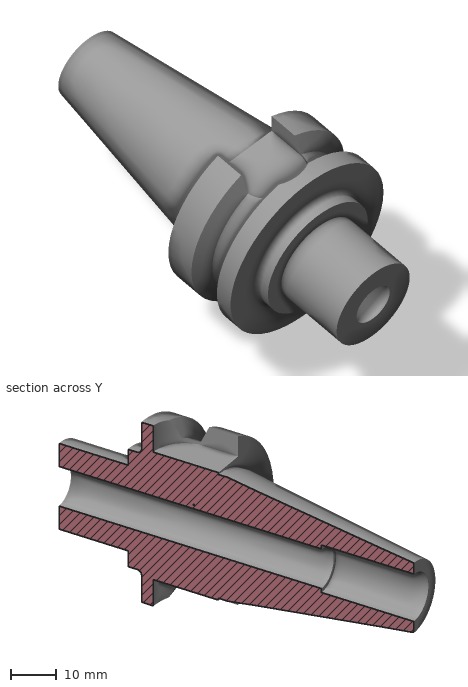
import cadquery as cq

total_length = 91.7
gauge_line = 48.4
neck_start = 49.2
flange_start = 50.4
groove_open_start = 57.9
groove_floor_start = 60.1
groove_floor_end = 63.9
groove_open_end = 66
flange_end = 70.4
collar_end = 73.9

taper_small_diameter = 17.9
taper_large_diameter = 31.8
neck_diameter = 31.7
flange_diameter = 46.0
groove_diameter = 37.6
collar_diameter = 30.1
spigot_diameter = 22
bore_diameter = 10.0
entry_bore_diameter = 12.0

entry_bore_depth = 23.8
collar_fillet = 1.0

slot_width = 16.1
slot_floor_height = 16.3
slot_end = 67.3


def make_body():
    """Taper, grooved flange, collar and spigot, revolved about X."""
    flange_radius = flange_diameter / 2
    groove_radius = groove_diameter / 2
    collar_radius = collar_diameter / 2
    return (
        cq.Workplane("XY")
        .moveTo(0, 0)
        .lineTo(0, taper_small_diameter / 2)
        .lineTo(gauge_line, taper_large_diameter / 2)
        .lineTo(neck_start, neck_diameter / 2)
        .lineTo(flange_start, neck_diameter / 2)
        .lineTo(flange_start, flange_radius)
        .lineTo(groove_open_start, flange_radius)
        .lineTo(groove_floor_start, groove_radius)
        .lineTo(groove_floor_end, groove_radius)
        .lineTo(groove_open_end, flange_radius)
        .lineTo(flange_end, flange_radius)
        .lineTo(flange_end, collar_radius + collar_fillet)
        .radiusArc((flange_end + collar_fillet, collar_radius), -collar_fillet)
        .lineTo(collar_end, collar_radius)
        .lineTo(collar_end, spigot_diameter / 2)
        .lineTo(total_length, spigot_diameter / 2)
        .lineTo(total_length, 0)
        .close()
        .revolve(360, (0, 0, 0), (1, 0, 0))
    )


def make_bore():
    """Through bore with a wider entry at the small end of the taper."""
    through = cq.Workplane("YZ").circle(bore_diameter / 2).extrude(total_length)
    entry = cq.Workplane("YZ").circle(entry_bore_diameter / 2).extrude(entry_bore_depth)
    return through.union(entry)


def make_slot():
    """Flat-bottomed round-ended slot, open at the taper side of the flange."""
    half_width = slot_width / 2
    arc_start = slot_end - half_width
    return (
        cq.Workplane("XY", origin=(0, 0, slot_floor_height))
        .moveTo(flange_start, -half_width)
        .lineTo(arc_start, -half_width)
        .threePointArc((slot_end, 0), (arc_start, half_width))
        .lineTo(flange_start, half_width)
        .close()
        .extrude(flange_diameter / 2)
    )


upper_slot = make_slot()
lower_slot = upper_slot.mirror("XY")
result = make_body().cut(make_bore()).cut(upper_slot).cut(lower_slot)